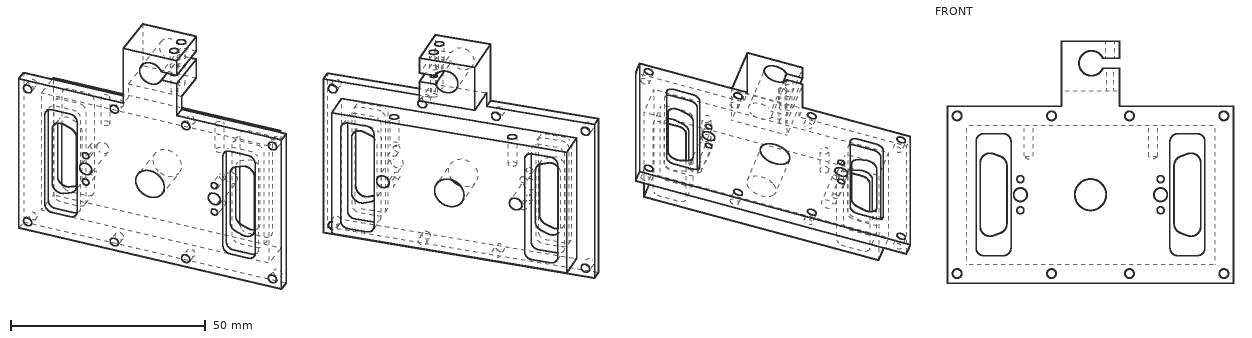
import cadquery as cq
import math

plate_width = 73.5
plate_height = 45.5
plate_thickness = 3.2

block_margin = 4.9
block_width = plate_width - 2 * block_margin
block_height = plate_height - 2 * block_margin
block_back = 11.0

clamp_width = 15.0
clamp_size = 12.7
part_height = 62.2
clamp_top = part_height - plate_height / 2
clamp_bottom = clamp_top - clamp_size
bore_diameter = 6.35
bore_x = 0.25
bore_z = clamp_top - 5.7
slot_height = 2.5
clamp_screw_x = 5.0
clamp_screw_ys = (4.1, 8.7)
clamp_clearance_diameter = 2.3
clamp_tap_diameter = 1.8

mount_hole_diameter = 2.3
mount_hole_inset = 2.5
mount_hole_inner_x = 10.0
center_hole_diameter = 8.0

pin_x = 18.0
guide_hole_diameter = 3.4
pin_offset_z = 4.0
pin_hole_diameter = 1.8
pin_hole_depth = 5.0

connector_x = 24.9
recess_width = 9.0
recess_height = 31.3
recess_radius = 2.0
front_recess_depth = 2.1
window_web_thickness = 3.5
window_width = 6.8
window_long_side = 23.4
window_taper = 20.0
window_radius = 2.5

set_screw_x = 16.0
set_screw_y = 7.9
set_screw_diameter = 2.3
set_screw_depth = 8.0

drill_tip_angle = 118.0


def box(width, height, y_front, y_back, x=0.0, z=0.0):
    """Block centred on (x, z), between two Y levels."""
    depth = y_back - y_front
    return cq.Workplane("XY").box(width, depth, height).translate((x, y_front + depth / 2, z))


def hole_y(diameter, length, x, z):
    """Round cutter running from the front face toward +Y."""
    return cq.Workplane(cq.Solid.makeCylinder(diameter / 2, length, cq.Vector(x, 0, z), cq.Vector(0, 1, 0)))


def hole_down(diameter, x, y, z_top, z_bottom):
    """Round cutter running down between two Z levels."""
    length = z_top - z_bottom
    return cq.Workplane(
        cq.Solid.makeCylinder(diameter / 2, length, cq.Vector(x, y, z_top), cq.Vector(0, 0, -1))
    )


def drilled_hole(diameter, depth, start, direction):
    """Blind cutter with a conical drill tip beyond its full depth."""
    radius = diameter / 2
    tip = radius / math.tan(math.radians(drill_tip_angle / 2))
    axis = cq.Vector(*direction)
    origin = cq.Vector(*start)
    shank = cq.Solid.makeCylinder(radius, depth, origin, axis)
    cone = cq.Solid.makeCone(radius, 0, tip, origin + axis * depth, axis)
    return cq.Workplane(shank).union(cq.Workplane(cone))


def body():
    """Plate, rear block and clamp joined, before any cutting."""
    plate = box(plate_width, plate_height, 0, plate_thickness)
    block = box(block_width, block_height, plate_thickness, block_back)
    neck_height = clamp_top - plate_height / 2
    neck = box(clamp_width, neck_height, 0, plate_thickness, z=clamp_top - neck_height / 2)
    head = box(clamp_width, clamp_size, 0, clamp_size, z=clamp_top - clamp_size / 2)
    return plate.union(block).union(neck).union(head)


def cut_clamp(part):
    """Bore, split slot and two screw holes, tapped below the slot."""
    part = part.cut(hole_y(bore_diameter, clamp_size, bore_x, bore_z))
    slot_length = clamp_width / 2 - bore_x
    part = part.cut(box(slot_length, slot_height, 0, clamp_size, bore_x + slot_length / 2, bore_z))
    for y in clamp_screw_ys:
        part = part.cut(hole_down(clamp_clearance_diameter, clamp_screw_x, y, clamp_top, bore_z))
        part = part.cut(hole_down(clamp_tap_diameter, clamp_screw_x, y, bore_z, clamp_bottom))
    return part


def cut_plate_holes(part):
    """Mounting holes along the long edges and the central through hole."""
    outer_x = plate_width / 2 - mount_hole_inset
    hole_z = plate_height / 2 - mount_hole_inset
    for x in (-outer_x, -mount_hole_inner_x, mount_hole_inner_x, outer_x):
        for z in (-hole_z, hole_z):
            part = part.cut(hole_y(mount_hole_diameter, plate_thickness, x, z))
    return part.cut(hole_y(center_hole_diameter, block_back, 0, 0))


def d_window(side):
    """Connector window with its long edge facing away from the plate centre."""
    x_outer = side * (connector_x + window_width / 2)
    x_inner = side * (connector_x - window_width / 2)
    z_outer = window_long_side / 2
    z_inner = z_outer - window_width * math.tan(math.radians(window_taper))
    corners = [(x_outer, z_outer), (x_outer, -z_outer), (x_inner, -z_inner), (x_inner, z_inner)]
    window = cq.Workplane("XZ").polyline(corners).close().extrude(-block_back)
    return window.edges("|Y").fillet(window_radius)


def cut_connector(part, side):
    """Front and rear recesses joined by the window through the web between them."""
    x = side * connector_x
    rear_recess_front = front_recess_depth + window_web_thickness
    for y_front, y_back in ((0, front_recess_depth), (rear_recess_front, block_back)):
        recess = box(recess_width, recess_height, y_front, y_back, x)
        part = part.cut(recess.edges("|Y").fillet(recess_radius))
    return part.cut(d_window(side))


def cut_pin_holes(part, side):
    """Guide hole through the block with a blind pin hole above and below it."""
    part = part.cut(hole_y(guide_hole_diameter, block_back, side * pin_x, 0))
    for z in (-pin_offset_z, pin_offset_z):
        part = part.cut(drilled_hole(pin_hole_diameter, pin_hole_depth, (side * pin_x, 0, z), (0, 1, 0)))
    return part


def cut_set_screw(part, side):
    """Blind hole drilled down into the top of the block."""
    start = (side * set_screw_x, set_screw_y, block_height / 2)
    return part.cut(drilled_hole(set_screw_diameter, set_screw_depth, start, (0, 0, -1)))


result = cut_plate_holes(cut_clamp(body()))
for side in (-1, 1):
    result = cut_connector(result, side)
    result = cut_pin_holes(result, side)
    result = cut_set_screw(result, side)